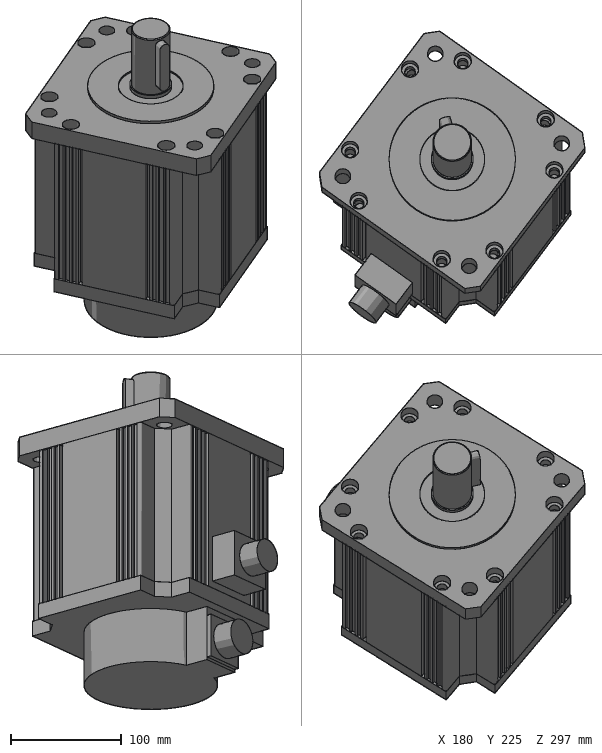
import cadquery as cq
import math

COVER_HEIGHT = 51.5
REAR_PLATE_THICKNESS = 14.3
HOUSING_LENGTH = 148.2
FLANGE_THICKNESS = 18.0
PILOT_HEIGHT = 2.7
TOTAL_HEIGHT = 297.0

REAR_PLATE_Z = COVER_HEIGHT
HOUSING_Z = REAR_PLATE_Z + REAR_PLATE_THICKNESS
FLANGE_Z = HOUSING_Z + HOUSING_LENGTH
FLANGE_TOP_Z = FLANGE_Z + FLANGE_THICKNESS
PILOT_TOP_Z = FLANGE_TOP_Z + PILOT_HEIGHT

FRAME_WIDTH = 180.0
HALF_FRAME = FRAME_WIDTH / 2
QUARTER_TURNS = (0, 90, 180, 270)

ARM_HALF_WIDTH = 58.5
NOTCH_FLOOR = 69.5
CORE_RADIUS = math.hypot(ARM_HALF_WIDTH, NOTCH_FLOOR)
CORE_FLAT_WIDTH = 2 * (ARM_HALF_WIDTH + NOTCH_FLOOR) / math.sqrt(2)

ARM_FILLET = 2.7
GROOVES = ((37.0, 40.7), (43.5, 47.8), (49.5, 54.0))
GROOVE_DEPTH = 2.5
DEEP_GROOVE = (31.0, 34.5)
DEEP_GROOVE_INNER_DEPTH = 4.0
DEEP_GROOVE_OUTER_DEPTH = 4.8

FLANGE_CHAMFER = 10.0
MOUNT_HOLE_OFFSET = 70.7
MOUNT_HOLE_DIAMETER = 14.0
PILOT_DIAMETER = 114.0
RECESS_DIAMETER = 58.5
RECESS_DEPTH = 1.5

SCREW_CIRCLE_RADIUS = 92.7
SCREW_HALF_ANGLE = 15.1
SCREW_TWIST = 0.4
SCREW_HOLE_DIAMETER = 9.5
COUNTERBORE_DIAMETER = 15.5
COUNTERBORE_DEPTH = 10.0
THREAD_DEPTH = 17.8
THREAD_INWARD_SHIFT = 2.0

SHAFT_DIAMETER = 35.0
SHAFT_CHAMFER = 1.0
SHOULDER_DIAMETER = 37.7
SHOULDER_TOP_Z = 236.7
RECESS_FLOOR_Z = PILOT_TOP_Z - RECESS_DEPTH
KEY_ANGLE = -38.0
KEY_WIDTH = 10.0
KEY_LENGTH = 50.8
KEY_BOTTOM_Z = 243.5
KEY_INNER_RADIUS = 12.5
KEY_OUTER_RADIUS = 25.0

COVER_RADIUS = 60.3
BOSS_WIDTH = 41.0
BOSS_FACE_Y = 80.2

POWER_X = 1.8
POWER_Z = 94.0
POWER_BOX_WIDTH = 46.0
POWER_BOX_HEIGHT = 43.0
POWER_BOX_DEPTH = 25.0
POWER_PLUG_DIAMETER = 30.3
POWER_PLUG_LENGTH = 20.0

ENCODER_Z = 23.0
ENCODER_PLATE_SIDE = 40.5
ENCODER_PLATE_THICKNESS = 4.5
ENCODER_PLUG_DIAMETER = 32.5
ENCODER_PLUG_LENGTH = 19.5


def block(width, depth, z_bottom, height):
    """Box centred on the motor axis."""
    return cq.Workplane("XY").workplane(offset=z_bottom).rect(width, depth).extrude(height)


def cylinder(diameter, z_bottom, height):
    """Cylinder on the motor axis."""
    return cq.Workplane("XY").workplane(offset=z_bottom).circle(diameter / 2).extrude(height)


def spin(shape, angle):
    """Turn a shape about the motor axis."""
    return shape.rotate((0, 0, 0), (0, 0, 1), angle)


def cross_prism(z_bottom, height):
    """Plus-shaped prism that leaves a square notch at each corner of the frame."""
    arm_width = 2 * ARM_HALF_WIDTH
    arm = block(FRAME_WIDTH, arm_width, z_bottom, height)
    return arm.union(block(arm_width, FRAME_WIDTH, z_bottom, height))


def screw_points(second_shift=0.0):
    """Centres of the eight screws; the second of each pair may be shifted in from its side."""
    points = []
    for turn in QUARTER_TURNS:
        side_normal = math.radians(turn + 90)
        for side, shift in ((-1, 0.0), (1, second_shift)):
            angle = math.radians(turn + 45 + SCREW_TWIST + side * SCREW_HALF_ANGLE)
            x = SCREW_CIRCLE_RADIUS * math.cos(angle) - shift * math.cos(side_normal)
            y = SCREW_CIRCLE_RADIUS * math.sin(angle) - shift * math.sin(side_normal)
            points.append((x, y))
    return points


def key_blank():
    """Round-ended key, laid out along +X and turned to its place on the shaft."""
    blank = (
        cq.Workplane("YZ", origin=(KEY_INNER_RADIUS, 0, KEY_BOTTOM_Z + KEY_LENGTH / 2))
        .slot2D(KEY_LENGTH, KEY_WIDTH, 90)
        .extrude(KEY_OUTER_RADIUS - KEY_INNER_RADIUS)
    )
    return spin(blank, KEY_ANGLE)


def make_flange():
    plate = block(FRAME_WIDTH, FRAME_WIDTH, FLANGE_Z, FLANGE_THICKNESS)
    plate = plate.edges("|Z").chamfer(FLANGE_CHAMFER)
    flange = plate.union(cylinder(PILOT_DIAMETER, FLANGE_TOP_Z, PILOT_HEIGHT))
    flange = flange.cut(cylinder(RECESS_DIAMETER, RECESS_FLOOR_Z, RECESS_DEPTH))
    mount_holes = (
        cq.Workplane("XY", origin=(0, 0, FLANGE_Z))
        .rect(2 * MOUNT_HOLE_OFFSET, 2 * MOUNT_HOLE_OFFSET, forConstruction=True)
        .vertices()
        .circle(MOUNT_HOLE_DIAMETER / 2)
        .extrude(FLANGE_THICKNESS)
    )
    screw_holes = (
        cq.Workplane("XY", origin=(0, 0, FLANGE_Z))
        .pushPoints(screw_points())
        .circle(SCREW_HOLE_DIAMETER / 2)
        .extrude(FLANGE_THICKNESS)
    )
    counterbores = (
        cq.Workplane("XY", origin=(0, 0, FLANGE_TOP_Z))
        .pushPoints(screw_points())
        .circle(COUNTERBORE_DIAMETER / 2)
        .extrude(-COUNTERBORE_DEPTH)
    )
    return flange.cut(mount_holes).cut(screw_holes).cut(counterbores)


def groove_cutters():
    """Grooves for one half of the +X side, running the full housing length."""
    plane = cq.Workplane("XY", origin=(0, 0, HOUSING_Z))
    inner, outer = DEEP_GROOVE
    cutters = (
        plane.moveTo(HALF_FRAME, inner)
        .lineTo(HALF_FRAME - DEEP_GROOVE_INNER_DEPTH, inner)
        .lineTo(HALF_FRAME - DEEP_GROOVE_OUTER_DEPTH, outer)
        .lineTo(HALF_FRAME, outer)
        .close()
        .extrude(HOUSING_LENGTH)
    )
    for inner, outer in GROOVES:
        groove = (
            plane.moveTo(HALF_FRAME - GROOVE_DEPTH / 2, (inner + outer) / 2)
            .rect(GROOVE_DEPTH, outer - inner)
            .extrude(HOUSING_LENGTH)
        )
        cutters = cutters.add(groove)
    return cutters.combine()


def make_housing():
    core = cylinder(2 * CORE_RADIUS, HOUSING_Z, HOUSING_LENGTH)
    core = core.intersect(block(FRAME_WIDTH, FRAME_WIDTH, HOUSING_Z, HOUSING_LENGTH))
    arms = cross_prism(HOUSING_Z, HOUSING_LENGTH)
    for face in (">X", "<X", ">Y", "<Y"):
        arms = arms.faces(face).edges("|Z").fillet(ARM_FILLET)
    housing = arms.union(core)

    upper_half = groove_cutters()
    lower_half = upper_half.mirror("XZ")
    for turn in QUARTER_TURNS:
        housing = housing.cut(spin(upper_half, turn)).cut(spin(lower_half, turn))

    threads = (
        cq.Workplane("XY", origin=(0, 0, FLANGE_Z))
        .pushPoints(screw_points(THREAD_INWARD_SHIFT))
        .circle(SCREW_HOLE_DIAMETER / 2)
        .extrude(-THREAD_DEPTH)
    )
    return housing.cut(threads)


def make_rear_plate():
    core = spin(block(CORE_FLAT_WIDTH, CORE_FLAT_WIDTH, REAR_PLATE_Z, REAR_PLATE_THICKNESS), 45)
    core = core.intersect(block(FRAME_WIDTH, FRAME_WIDTH, REAR_PLATE_Z, REAR_PLATE_THICKNESS))
    return cross_prism(REAR_PLATE_Z, REAR_PLATE_THICKNESS).union(core)


def make_cover():
    boss = block(BOSS_WIDTH, BOSS_FACE_Y, 0, COVER_HEIGHT).translate((0, BOSS_FACE_Y / 2, 0))
    return cylinder(2 * COVER_RADIUS, 0, COVER_HEIGHT).union(boss)


def make_shaft():
    shaft = cylinder(SHAFT_DIAMETER, RECESS_FLOOR_Z, TOTAL_HEIGHT - RECESS_FLOOR_Z)
    shaft = shaft.faces(">Z").edges().chamfer(SHAFT_CHAMFER)
    shoulder = cylinder(SHOULDER_DIAMETER, RECESS_FLOOR_Z, SHOULDER_TOP_Z - RECESS_FLOOR_Z)
    return shaft.union(shoulder).cut(key_blank())


def facing_plus_y(x, y, z):
    """Workplane at a point; extrusions from it run toward +Y."""
    return cq.Workplane(cq.Plane(origin=(x, y, z), xDir=(1, 0, 0), normal=(0, 1, 0)))


def make_power_connector():
    box_face_y = HALF_FRAME + POWER_BOX_DEPTH
    box = (
        facing_plus_y(POWER_X, HALF_FRAME, POWER_Z)
        .rect(POWER_BOX_WIDTH, POWER_BOX_HEIGHT)
        .extrude(POWER_BOX_DEPTH)
    )
    plug = (
        facing_plus_y(POWER_X, box_face_y, POWER_Z)
        .circle(POWER_PLUG_DIAMETER / 2)
        .extrude(POWER_PLUG_LENGTH)
    )
    return box.union(plug)


def make_encoder_connector():
    plate_face_y = BOSS_FACE_Y + ENCODER_PLATE_THICKNESS
    plate = (
        facing_plus_y(0, BOSS_FACE_Y, ENCODER_Z)
        .rect(ENCODER_PLATE_SIDE, ENCODER_PLATE_SIDE)
        .extrude(ENCODER_PLATE_THICKNESS)
    )
    plug = (
        facing_plus_y(0, plate_face_y, ENCODER_Z)
        .circle(ENCODER_PLUG_DIAMETER / 2)
        .extrude(ENCODER_PLUG_LENGTH)
    )
    return plate.union(plug)


flange = make_flange()
housing = make_housing()
rear_plate = make_rear_plate()
cover = make_cover()
shaft = make_shaft()
key = key_blank()
power_connector = make_power_connector()
encoder_connector = make_encoder_connector()

result = cq.Compound.makeCompound([
    flange.val(),
    housing.val(),
    rear_plate.val(),
    cover.val(),
    shaft.val(),
    key.val(),
    power_connector.val(),
    encoder_connector.val(),
])